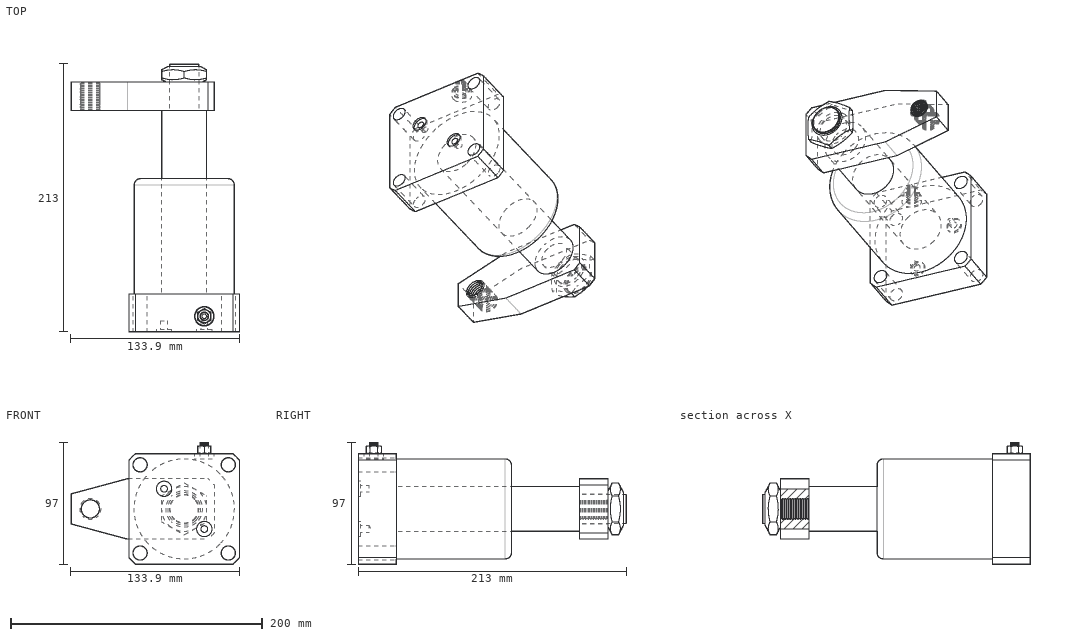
import cadquery as cq
import math


flange_width = 88.0
flange_thickness = 30.2
flange_corner_circle_diameter = 117.2
bolt_spacing = 70.0
bolt_hole_diameter = 11.0
barrel_diameter = 79.7
housing_length = 121.8
barrel_edge_radius = 5.1

port_offset = 16.0
port_seat_diameter = 12.1
port_seat_depth = 1.7
port_diameter = 5.3
port_depth = 8.5
drill_tip_angle = 118

rod_diameter = 35.8
rod_stud_diameter = 23.2
rod_stud_chamfer = 0.5
rod_end = 213.0

arm_bottom = 175.7
arm_thickness = 22.8
arm_top = arm_bottom + arm_thickness
arm_tip_x = -89.9
arm_taper_length = 44.7
arm_heel_x = 24.0
arm_width = 48.1
arm_tip_width = 24.0
arm_heel_chamfer = 5.1
clamp_hole_x = -74.5
clamp_hole_diameter = 14.3
clamp_thread_pitch = 2.0
clamp_thread_depth = 1.17
clamp_thread_count = 11

nut_across_flats = 35.8
nut_corner_radius = nut_across_flats / math.sqrt(3)
nut_seat_radius = 14.5
nut_seat_chamfer = 3.2
nut_rim_length = 5.1
nut_crown_radius = 13.0
nut_top = 210.9

valve_x = port_offset
valve_y = 12.4
flange_top_z = flange_width / 2
collar_diameter = 15.5
collar_chamfer = 0.5
collar_bore_depth = 4.3
lock_nut_across_flats = 10.6
lock_nut_corner_radius = lock_nut_across_flats / math.sqrt(3)
lock_nut_top_z = flange_top_z + 6.2
lock_nut_face_radius = 5.1
lock_nut_chamfer = 0.6
overall_height = 97.0
screw_diameter = 6.8
screw_top_z = overall_height - flange_width / 2
screw_thread_pitch = 0.68
screw_thread_depth = 0.32
screw_thread_count = 4
screw_socket_across_flats = 3.5
screw_socket_depth = 2.5


def y_cylinder(diameter, start, end, x=0, z=0):
    """Solid cylinder along Y from start to end."""
    plane = cq.Plane(origin=(x, start, z), xDir=(1, 0, 0), normal=(0, 1, 0))
    return cq.Workplane(plane).circle(diameter / 2).extrude(end - start)


def z_cylinder(diameter, start, end):
    """Solid cylinder along Z on the valve axis."""
    return cq.Workplane(origin=(valve_x, valve_y, start)).circle(diameter / 2).extrude(end - start)


def ring_grooves(radius, depth, pitch, count):
    """V-shaped rings around Z, one per pitch from Z = 0; positive depth points inward, negative outward."""
    grooves = []
    for index in range(count):
        base = index * pitch
        ring = (
            cq.Workplane("XZ")
            .polyline([(radius, base), (radius - depth, base + pitch / 2), (radius, base + pitch)])
            .close()
            .revolve(360, (0, 0, 0), (0, 1, 0))
        )
        grooves.append(ring)
    return grooves


def along_y(shape, x, y):
    """Turn a shape built along +Z so that it runs along +Y from (x, y, 0)."""
    return shape.rotate((0, 0, 0), (1, 0, 0), -90).translate((x, y, 0))


def chamfered_hexagon(corner_radius, profile):
    """Hexagonal prism along Z with corners on the Y axis, trimmed by a turned (radius, height) profile."""
    top = profile[-1][1]
    prism = (
        cq.Workplane("XY")
        .polygon(6, 2 * corner_radius)
        .extrude(top)
        .rotate((0, 0, 0), (0, 0, 1), 30)
    )
    outline = cq.Workplane("XZ").polyline([(0, 0), *profile, (0, top)]).close()
    return prism.intersect(outline.revolve(360, (0, 0, 0), (0, 1, 0)))


def oil_port(x, z):
    """Seal seat and flat-bottomed oil hole, entering from the flange face."""
    seat = y_cylinder(port_seat_diameter, 0, port_seat_depth, x, z)
    return seat.union(y_cylinder(port_diameter, 0, port_depth, x, z))


def drill_tip(x, z):
    """Conical end that a drill leaves at the bottom of an oil hole."""
    height = port_diameter / 2 / math.tan(math.radians(drill_tip_angle / 2))
    cone = cq.Solid.makeCone(port_diameter / 2, 0, height, cq.Vector(x, port_depth, z), cq.Vector(0, 1, 0))
    return cq.Workplane(cone)


def make_housing():
    flange = (
        cq.Workplane("XY")
        .box(flange_width, flange_thickness, flange_width)
        .translate((0, flange_thickness / 2, 0))
        .intersect(y_cylinder(flange_corner_circle_diameter, 0, flange_thickness))
    )
    barrel = y_cylinder(barrel_diameter, 0, housing_length).faces(">Y").edges().fillet(barrel_edge_radius)
    body = flange.union(barrel)
    for x in (-bolt_spacing / 2, bolt_spacing / 2):
        for z in (-bolt_spacing / 2, bolt_spacing / 2):
            body = body.cut(y_cylinder(bolt_hole_diameter, 0, flange_thickness, x, z))
    body = body.cut(oil_port(-port_offset, port_offset))
    body = body.cut(oil_port(port_offset, -port_offset)).cut(drill_tip(port_offset, -port_offset))
    body = body.cut(z_cylinder(collar_diameter, flange_top_z - collar_bore_depth, flange_top_z))
    return body.cut(y_cylinder(rod_diameter, flange_thickness, housing_length))


def make_rod():
    rod = y_cylinder(rod_diameter, flange_thickness, arm_bottom)
    stud = y_cylinder(rod_stud_diameter, arm_bottom, rod_end).faces(">Y").chamfer(rod_stud_chamfer)
    return rod.union(stud)


def make_arm():
    taper_end_x = arm_tip_x + arm_taper_length
    upper_edge = [
        (arm_tip_x, arm_tip_width / 2),
        (taper_end_x, arm_width / 2),
        (arm_heel_x - arm_heel_chamfer, arm_width / 2),
        (arm_heel_x, arm_width / 2 - arm_heel_chamfer),
    ]
    lower_edge = [(x, -z) for x, z in reversed(upper_edge)]
    arm = (
        cq.Workplane("XZ", origin=(0, arm_bottom, 0))
        .polyline(upper_edge + lower_edge)
        .close()
        .extrude(-arm_thickness)
    )
    arm = arm.cut(y_cylinder(rod_stud_diameter, arm_bottom, arm_top))
    arm = arm.cut(y_cylinder(clamp_hole_diameter, arm_bottom, arm_top, clamp_hole_x))
    thread = ring_grooves(
        clamp_hole_diameter / 2, -clamp_thread_depth, clamp_thread_pitch, clamp_thread_count
    )
    for groove in thread:
        arm = arm.cut(along_y(groove, clamp_hole_x, arm_bottom))
    return arm


def make_nut():
    height = nut_top - arm_top
    nut = chamfered_hexagon(
        nut_corner_radius,
        [
            (nut_seat_radius, 0),
            (nut_corner_radius, nut_seat_chamfer),
            (nut_corner_radius, nut_seat_chamfer + nut_rim_length),
            (nut_crown_radius, height),
        ],
    )
    return along_y(nut, 0, arm_top).cut(y_cylinder(rod_stud_diameter, arm_top, nut_top))


def make_valve_collar():
    collar = z_cylinder(collar_diameter, flange_top_z - collar_bore_depth, flange_top_z)
    collar = collar.faces(">Z").edges().chamfer(collar_chamfer)
    return collar.cut(z_cylinder(screw_diameter, flange_top_z - collar_bore_depth, screw_top_z))


def make_lock_nut():
    height = lock_nut_top_z - flange_top_z
    nut = chamfered_hexagon(
        lock_nut_corner_radius,
        [
            (lock_nut_face_radius, 0),
            (lock_nut_corner_radius, lock_nut_chamfer),
            (lock_nut_corner_radius, height - lock_nut_chamfer),
            (lock_nut_face_radius, height),
        ],
    )
    nut = nut.translate((valve_x, valve_y, flange_top_z))
    return nut.cut(z_cylinder(screw_diameter, flange_top_z, screw_top_z))


def make_valve_screw():
    screw = z_cylinder(screw_diameter, flange_top_z - collar_bore_depth, screw_top_z)
    thread = ring_grooves(screw_diameter / 2, screw_thread_depth, screw_thread_pitch, screw_thread_count)
    for groove in thread:
        screw = screw.cut(groove.translate((valve_x, valve_y, lock_nut_top_z)))
    socket = (
        cq.Workplane(origin=(valve_x, valve_y, screw_top_z))
        .polygon(6, 2 * screw_socket_across_flats / math.sqrt(3))
        .extrude(-screw_socket_depth)
    )
    return screw.cut(socket)


housing = make_housing()
rod = make_rod()
arm = make_arm()
nut = make_nut()
valve_collar = make_valve_collar()
lock_nut = make_lock_nut()
valve_screw = make_valve_screw()

result = cq.Compound.makeCompound(
    [
        housing.val(),
        rod.val(),
        arm.val(),
        nut.val(),
        valve_collar.val(),
        lock_nut.val(),
        valve_screw.val(),
    ]
)